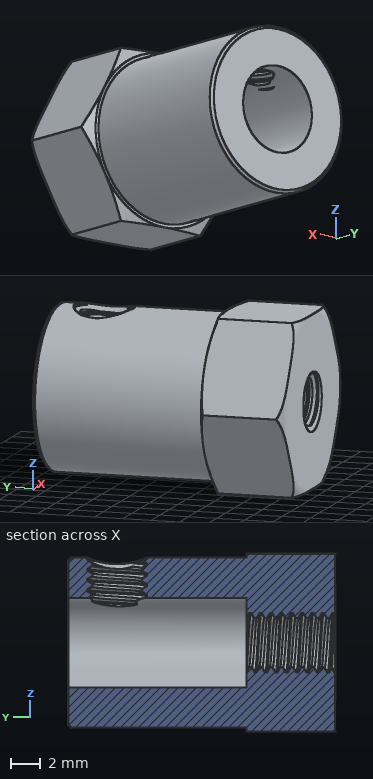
import cadquery as cq
import math

HEX_FLATS = 12.0
HEX_LENGTH = 6.0
HEX_CORNER_RADIUS = HEX_FLATS / 2 / math.cos(math.radians(30))
HEX_CORNER_OVERHANG = HEX_CORNER_RADIUS - HEX_FLATS / 2
HEX_REAR_BEVEL = 0.4
HEX_FRONT_ROUND = 1.3

TOTAL_LENGTH = 18.0
SLEEVE_LENGTH = TOTAL_LENGTH - HEX_LENGTH
SLEEVE_RADIUS = 11.5 / 2
SLEEVE_CHAMFER = 0.2
BORE_RADIUS = 6.0 / 2
BORE_DEPTH = SLEEVE_LENGTH

PITCH = 0.7
MAJOR_RADIUS = 4.0 / 2
MINOR_RADIUS = 3.3 / 2
ROOT_WIDTH = PITCH / 8
FLANK_SLOPE = math.tan(math.radians(30))
GROOVE_OVERLAP = 0.05

AXIAL_ENTRY_RADIUS = 2.05
AXIAL_ENTRY_DEPTH = 0.24
AXIAL_RUNOUT = PITCH
AXIAL_THREAD_ANGLE = 205

SCREW_Y = 14.7
SCREW_THREAD_START = 1.6
SCREW_THREAD_LENGTH = SLEEVE_RADIUS + PITCH - SCREW_THREAD_START
SCREW_THREAD_ANGLE = 180

SCREW_ENTRY_BOTTOM = 4.95
SCREW_ENTRY_DEPTH = SLEEVE_RADIUS - SCREW_ENTRY_BOTTOM
SCREW_ENTRY_TOP_X = 2.9
SCREW_ENTRY_TOP_Y = 2.09
SCREW_ENTRY_BOTTOM_X = MINOR_RADIUS
SCREW_ENTRY_BOTTOM_Y = 1.2


def cylinder_y(radius, start, length):
    """Cylinder on the part axis, from y = start towards +Y."""
    return cq.Workplane("XZ", origin=(0, start, 0)).circle(radius).extrude(-length)


def front_round_point(angle):
    """Point (radius, y) on the front rounding, at an angle from its tangency with the face."""
    radius = HEX_FLATS / 2 + HEX_FRONT_ROUND * math.sin(angle)
    y = HEX_FRONT_ROUND * (1 - math.cos(angle))
    return radius, y


def make_head():
    """Hexagonal prism, flats at top and bottom, front corners rounded and rear ones bevelled."""
    prism = cq.Workplane("XZ").polygon(6, 2 * HEX_CORNER_RADIUS).extrude(-HEX_LENGTH)
    round_end_angle = math.asin(HEX_CORNER_OVERHANG / HEX_FRONT_ROUND)
    round_middle = front_round_point(round_end_angle / 2)
    round_end = front_round_point(round_end_angle)
    end_envelope = (
        cq.Workplane("XY")
        .moveTo(0, 0)
        .lineTo(HEX_FLATS / 2, 0)
        .threePointArc(round_middle, round_end)
        .lineTo(HEX_CORNER_RADIUS, HEX_LENGTH - HEX_REAR_BEVEL)
        .lineTo(HEX_FLATS / 2, HEX_LENGTH)
        .lineTo(0, HEX_LENGTH)
        .close()
        .revolve(360, (0, 0, 0), (0, 1, 0))
    )
    return prism.intersect(end_envelope)


def make_sleeve():
    """Round sleeve with a small chamfer on its free end."""
    return cylinder_y(SLEEVE_RADIUS, HEX_LENGTH, SLEEVE_LENGTH).faces(">Y").chamfer(SLEEVE_CHAMFER)


def make_thread_groove(length, start_angle):
    """Right-hand helical groove around +Z, starting at z = 0."""
    inner_radius = MINOR_RADIUS - GROOVE_OVERLAP
    root_half = ROOT_WIDTH / 2
    mouth_half = root_half + (MAJOR_RADIUS - inner_radius) * FLANK_SLOPE
    helix = cq.Wire.makeHelix(PITCH, length, inner_radius)
    groove = (
        cq.Workplane("XZ")
        .moveTo(inner_radius, -mouth_half)
        .lineTo(MAJOR_RADIUS, -root_half)
        .lineTo(MAJOR_RADIUS, root_half)
        .lineTo(inner_radius, mouth_half)
        .close()
        .sweep(cq.Workplane(obj=helix), isFrenet=True)
    )
    return groove.rotate((0, 0, 0), (0, 0, 1), start_angle)


def cut_thread_grooves(body):
    """Cut both helical grooves; the holes are drilled through them afterwards."""
    axial_groove = (
        make_thread_groove(HEX_LENGTH + 2 * AXIAL_RUNOUT, AXIAL_THREAD_ANGLE)
        .rotate((0, 0, 0), (1, 0, 0), -90)
        .translate((0, -AXIAL_RUNOUT, 0))
    )
    screw_groove = make_thread_groove(SCREW_THREAD_LENGTH, SCREW_THREAD_ANGLE).translate(
        (0, SCREW_Y, SCREW_THREAD_START)
    )
    return body.cut(axial_groove).cut(screw_groove)


def cut_screw_hole(body):
    """Drill the set-screw hole from the top to the part axis and countersink it."""
    drill = cq.Workplane("XY", origin=(0, SCREW_Y, 0)).circle(MINOR_RADIUS).extrude(SLEEVE_RADIUS)
    countersink = (
        cq.Workplane("XY", origin=(0, SCREW_Y, SCREW_ENTRY_BOTTOM))
        .ellipse(SCREW_ENTRY_BOTTOM_X, SCREW_ENTRY_BOTTOM_Y)
        .workplane(offset=SCREW_ENTRY_DEPTH)
        .ellipse(SCREW_ENTRY_TOP_X, SCREW_ENTRY_TOP_Y)
        .loft(ruled=True)
    )
    return body.cut(drill).cut(countersink)


def cut_axial_holes(body):
    """Cut the shaft bore, the threaded hole through the head and its conical entry."""
    bore = cylinder_y(BORE_RADIUS, TOTAL_LENGTH - BORE_DEPTH, BORE_DEPTH)
    drill = cylinder_y(MINOR_RADIUS, 0, TOTAL_LENGTH)
    entry = cq.Workplane(
        cq.Solid.makeCone(
            AXIAL_ENTRY_RADIUS, MINOR_RADIUS, AXIAL_ENTRY_DEPTH, dir=cq.Vector(0, 1, 0)
        )
    )
    return body.cut(bore).cut(drill).cut(entry)


blank = make_head().union(make_sleeve())
drilled = cut_screw_hole(cut_thread_grooves(blank))
result = cq.Workplane(cut_axial_holes(drilled).solids().val())